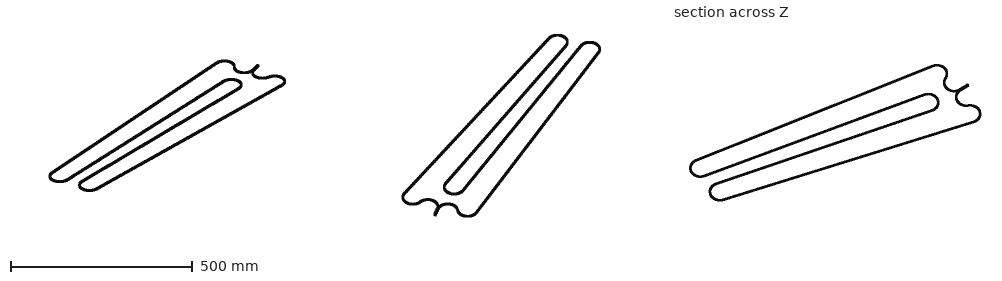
import cadquery as cq
import math

overall_x = 341.33
overall_y = 782.34
strip_thickness = 1.1
strip_height = 2.1
bend_radius = 27.5
tail_spacing = 2.35
tail_length = 25.7
shoulder_step_x = 50.3
foot_spacing = 93.05
crotch_x = 189.0
crotch_y = 633.35

shortest_run = 0.01

COUNTER_CLOCKWISE = 1
CLOCKWISE = -1

neck_x = tail_spacing / 2 + bend_radius
shoulder_x = neck_x + shoulder_step_x
shoulder_y = -math.sqrt((2 * bend_radius) ** 2 - shoulder_step_x ** 2)
left_foot_x = shoulder_x - (overall_x - 2 * bend_radius - strip_thickness)
foot_y = tail_length - overall_y + bend_radius + strip_thickness / 2

bends = [
    (-neck_x, 0, CLOCKWISE),
    (-shoulder_x, shoulder_y, COUNTER_CLOCKWISE),
    (left_foot_x, foot_y, COUNTER_CLOCKWISE),
    (left_foot_x + crotch_x, foot_y + crotch_y, CLOCKWISE),
    (left_foot_x + foot_spacing, foot_y, COUNTER_CLOCKWISE),
    (shoulder_x, shoulder_y, COUNTER_CLOCKWISE),
    (neck_x, 0, CLOCKWISE),
]


def point_on_bend(bend, heading):
    """Point where the strip runs in the given heading (radians) on a bend."""
    x, y, turn = bend
    return (
        x + turn * bend_radius * math.sin(heading),
        y - turn * bend_radius * math.cos(heading),
    )


def tangent_heading(bend, next_bend):
    """Heading of the straight run tangent to two successive bends."""
    dx = next_bend[0] - bend[0]
    dy = next_bend[1] - bend[1]
    offset = (bend[2] - next_bend[2]) * bend_radius
    lean = max(-1, min(1, offset / math.hypot(dx, dy)))
    return math.atan2(dy, dx) + math.asin(lean)


def turn_angle(start_heading, end_heading, turn):
    """Signed angle swept by a bend between two headings."""
    return turn * ((turn * (end_heading - start_heading)) % (2 * math.pi))


def strip_centreline():
    """Tail leg, then alternating bends and tangent runs, then the other tail leg."""
    down = -math.pi / 2
    up = math.pi / 2
    runs = [tangent_heading(a, b) for a, b in zip(bends, bends[1:])]
    headings = [down] + runs + [up]
    path = cq.Workplane("XY").moveTo(-tail_spacing / 2, tail_length)
    position = (-tail_spacing / 2, tail_length)
    for bend, start_heading, end_heading in zip(bends, headings, headings[1:]):
        start = point_on_bend(bend, start_heading)
        middle_heading = start_heading + turn_angle(start_heading, end_heading, bend[2]) / 2
        end = point_on_bend(bend, end_heading)
        if math.dist(position, start) > shortest_run:
            path = path.lineTo(*start)
        path = path.threePointArc(point_on_bend(bend, middle_heading), end)
        position = end
    return path.lineTo(tail_spacing / 2, tail_length)


def strip_section():
    """Rectangular section at the free end of the first tail leg."""
    return cq.Workplane("XZ", origin=(-tail_spacing / 2, tail_length, 0)).rect(strip_thickness, strip_height)


result = strip_section().sweep(strip_centreline())